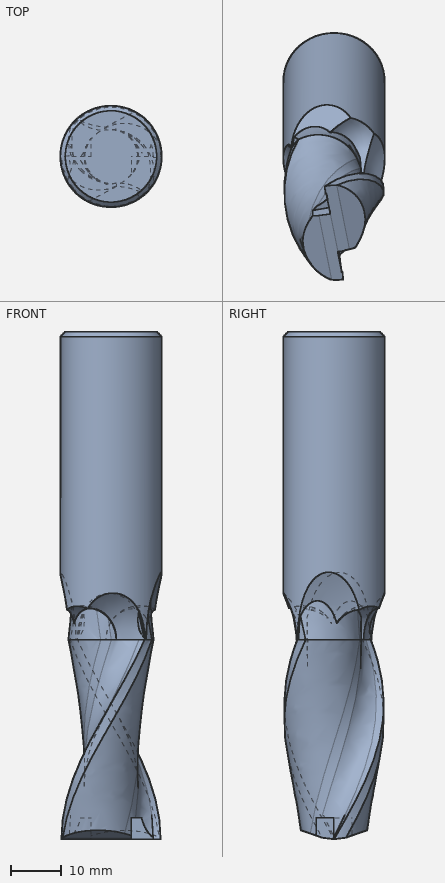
import cadquery as cq
import math

total_length = 100.0
shank_radius = 10.0
shank_chamfer = 1.0
cutter_radius = 9.8
cutter_length = 39.3

helix_lead = 107.0
margin_width = 2.2
heel_back = (2.7, 6.3)
heel_edge = (2.3, 4.9)
flute_edge = (4.0, 3.6)
flute_floor = (5.8, 1.5)
rake_edge = (8.3, 0.2)

primary_half_width = 2.3
primary_rise = 0.3
secondary_half_width = 6.3
secondary_rise = 1.7

gash_inner_x = 4.0
gash_outer_x = 8.3
gash_height = 4.3

flute_runout = (-88.0, 9.2, 40.0)
clearance_runout = (174.0, 13.3, 40.0)
heel_runout = (-132.0, 6.6, 42.0)
core_overlap = 15.0
core_twist = -24.0
cutter_twist = 360.0 * cutter_length / helix_lead


def fluted_bar(length, twist):
    """Twisted two-flute bar, from z = 0 upward."""
    half_margin = math.asin(margin_width / cutter_radius) / 2
    land_middle = (cutter_radius * math.cos(half_margin), cutter_radius * math.sin(half_margin))
    land_end = (math.sqrt(cutter_radius**2 - margin_width**2), margin_width)
    profile = cq.Workplane("XY").moveTo(cutter_radius, 0)
    for side in (1, -1):

        def behind(point):
            """Point on the same side as the cutting edge."""
            return (side * point[0], side * point[1])

        def across(point):
            """Point beyond the axis, towards the opposite cutting edge."""
            return (-side * point[0], side * point[1])

        profile = (
            profile
            .threePointArc(behind(land_middle), behind(land_end))
            .threePointArc(behind(heel_back), across(heel_edge))
            .lineTo(*across(flute_edge))
            .threePointArc(across(flute_floor), across(rake_edge))
            .lineTo(-side * cutter_radius, 0)
        )
    return profile.close().twistExtrude(length, twist)


def end_relief_envelope():
    """Block whose underside slopes up on both sides of the cutting edges."""
    side_slope = (secondary_rise - primary_rise) / (secondary_half_width - primary_half_width)
    outer_y = 2 * shank_radius
    outer_z = primary_rise + side_slope * (outer_y - primary_half_width)
    points = [
        (0, 0),
        (primary_half_width, primary_rise),
        (outer_y, outer_z),
        (outer_y, total_length),
        (-outer_y, total_length),
        (-outer_y, outer_z),
        (-primary_half_width, primary_rise),
    ]
    return cq.Workplane("YZ").polyline(points).close().extrude(shank_radius, both=True)


def gash(turn):
    """Notch with its flat face along the cutting edge."""
    block = cq.Workplane("XY").box(
        gash_outer_x - gash_inner_x, shank_radius, gash_height, centered=False
    )
    block = block.translate((gash_inner_x, -shank_radius, 0))
    return block.rotate((0, 0, 0), (0, 0, 1), turn)


def make_cutter():
    cutter = fluted_bar(cutter_length, cutter_twist).intersect(end_relief_envelope())
    for turn in (0, 180):
        cutter = cutter.cut(gash(turn))
    return cutter


def runout_ball(direction, rise, half_angle):
    """Ball that meets the shank surface at the given rise and half-angle."""
    spread = 1 - math.cos(math.radians(half_angle))
    center_radius = (rise**2 / shank_radius) / (2 * spread)
    ball_radius = math.hypot(center_radius - shank_radius, rise)
    angle = math.radians(direction)
    center = (center_radius * math.cos(angle), center_radius * math.sin(angle), cutter_length)
    return cq.Workplane("XY").sphere(ball_radius).translate(center)


def make_shank():
    shank = (
        cq.Workplane("XY")
        .workplane(offset=cutter_length)
        .circle(shank_radius)
        .extrude(total_length - cutter_length)
        .faces(">Z")
        .chamfer(shank_chamfer)
    )
    for direction, rise, half_angle in (flute_runout, clearance_runout, heel_runout):
        for turn in (0, 180):
            shank = shank.cut(runout_ball(direction + turn, rise, half_angle))
    core = (
        fluted_bar(core_overlap, core_twist)
        .rotate((0, 0, 0), (0, 0, 1), cutter_twist)
        .translate((0, 0, cutter_length))
    )
    return shank.union(core)


cutter = make_cutter()
shank = make_shank()
result = cq.Compound.makeCompound([cutter.val(), shank.val()])